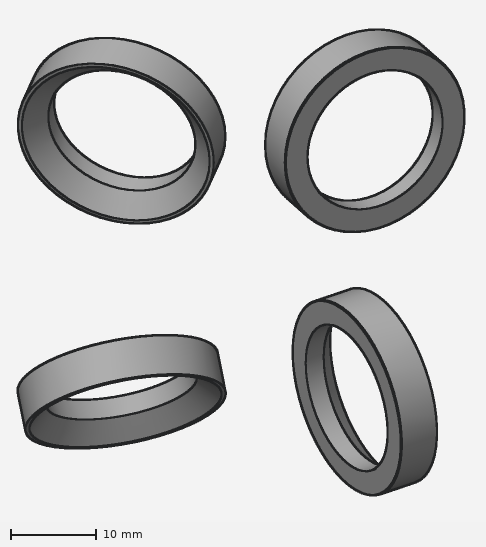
import cadquery as cq

outer_radius = 12.0
width = 5.0
bore_radius = 9.0
mouth_radius = 11.5
flare_depth = width / 2
edge_chamfer = 0.1

front_y = -width / 2
back_y = width / 2
flare_end_y = front_y + flare_depth

section = (
    cq.Workplane("XY")
    .moveTo(mouth_radius, front_y)
    .lineTo(outer_radius, front_y)
    .lineTo(outer_radius, back_y - edge_chamfer)
    .lineTo(outer_radius - edge_chamfer, back_y)
    .lineTo(bore_radius, back_y)
    .lineTo(bore_radius, flare_end_y)
    .close()
)

result = section.revolve(360, (0, 0, 0), (0, 1, 0))